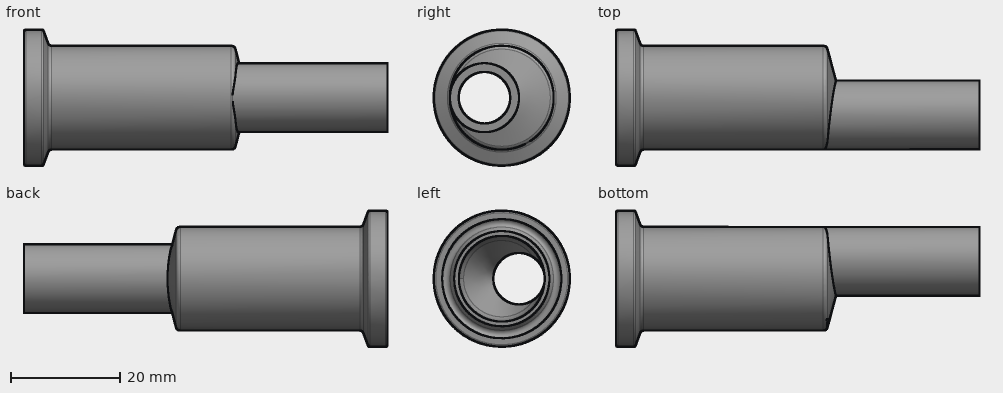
import cadquery as cq
import math

length = 66.7
flange_diameter = 25.0
body_diameter = 19.1
bore_diameter = 15.75
tube_diameter = 12.7
tube_bore_diameter = 9.4

flange_corner_x = 3.55
flange_back_angle = 20.0
rim_rounding = 0.4
root_rounding = 0.7

groove_outer_diameter = 21.9
lip_diameter = 17.5
lip_recess = 0.8
groove_radius = 0.8
groove_wall_angle = 35.0

end_rounding_x = 38.0
end_rounding = 0.835
end_cone_angle = 15.0

bore_end_x = 23.35
bore_end_rounding = 6.5
bore_cone_angle = 60.0

flange_radius = flange_diameter / 2
body_radius = body_diameter / 2
bore_radius = bore_diameter / 2

tube_offset_y = (tube_bore_diameter - bore_diameter) / 2


def revolve_about_x(profile):
    """Turn a profile drawn with X along the axis and Y as radius."""
    return profile.close().revolve(360, (0, 0, 0), (1, 0, 0))


def coned_cylinder(radius, straight_end_x, rounding, cone_angle):
    """Cylinder from X = 0 whose far end is a cone with a rounded shoulder."""
    turn = math.radians(90 - cone_angle)
    round_end_x = straight_end_x + rounding * math.sin(turn)
    round_end_radius = radius - rounding * (1 - math.cos(turn))
    round_mid_x = straight_end_x + rounding * math.sin(turn / 2)
    round_mid_radius = radius - rounding * (1 - math.cos(turn / 2))
    tip_x = round_end_x + round_end_radius * math.tan(math.radians(cone_angle))
    profile = (
        cq.Workplane("XY")
        .lineTo(0, radius)
        .lineTo(straight_end_x, radius)
        .threePointArc((round_mid_x, round_mid_radius), (round_end_x, round_end_radius))
        .lineTo(tip_x, 0)
    )
    return revolve_about_x(profile)


def tube_cylinder(diameter, start_x):
    """Cylinder on the offset tube axis, from start_x to the +X end."""
    return (
        cq.Workplane("YZ", origin=(start_x, tube_offset_y, 0))
        .circle(diameter / 2)
        .extrude(length - start_x)
    )


def clamp_flange():
    slope = math.tan(math.radians(flange_back_angle))
    cone_end_x = flange_corner_x + (flange_radius - body_radius) * slope
    profile = (
        cq.Workplane("XY")
        .lineTo(0, flange_radius)
        .lineTo(flange_corner_x, flange_radius)
        .lineTo(cone_end_x, body_radius)
        .lineTo(cone_end_x, 0)
    )
    flange = revolve_about_x(profile)
    flange = flange.faces("%CYLINDER").edges("%CIRCLE").fillet(rim_rounding)
    return flange, cone_end_x


def gasket_groove():
    """Groove with a straight outer wall, a round floor and a coned inner wall."""
    wall = math.radians(groove_wall_angle)
    outer = groove_outer_diameter / 2
    lip = lip_diameter / 2
    centre_radius = outer - groove_radius
    floor_end_radius = centre_radius - groove_radius * math.cos(wall)
    floor_end_x = lip_recess + (floor_end_radius - lip) / math.tan(wall)
    centre_x = floor_end_x - groove_radius * math.sin(wall)
    profile = (
        cq.Workplane("XY")
        .lineTo(lip_recess, 0)
        .lineTo(lip_recess, lip)
        .lineTo(floor_end_x, floor_end_radius)
        .threePointArc((centre_x + groove_radius, centre_radius), (centre_x, outer))
        .lineTo(0, outer)
    )
    return revolve_about_x(profile)


flange, flange_end_x = clamp_flange()
body = coned_cylinder(body_radius, end_rounding_x, end_rounding, end_cone_angle)
ferrule = flange.union(body)
root_edge = cq.selectors.NearestToPointSelector((flange_end_x, 0, body_radius))
ferrule = ferrule.edges("%CIRCLE").edges(root_edge).fillet(root_rounding)

result = (
    ferrule
    .union(tube_cylinder(tube_diameter, end_rounding_x))
    .cut(gasket_groove())
    .cut(coned_cylinder(bore_radius, bore_end_x, bore_end_rounding, bore_cone_angle))
    .cut(tube_cylinder(tube_bore_diameter, bore_end_x))
)